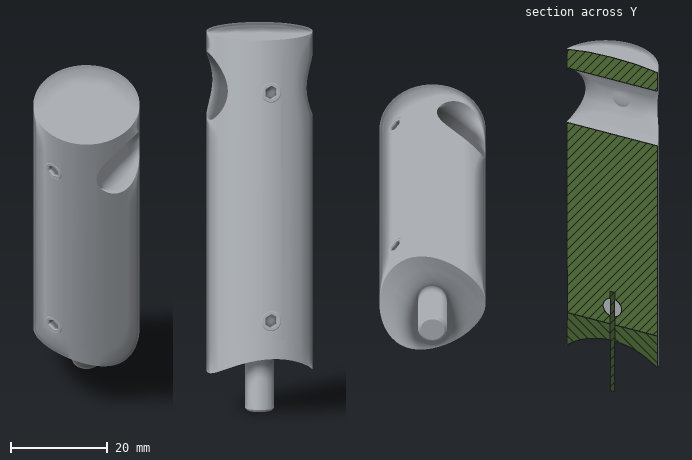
import cadquery as cq
import math

total_height = 80.3
column_diameter = 21.9
column_radius = column_diameter / 2
dome_height = 1.0

joint_z = 16.4
cross_bore_diameter = 14.2
cross_bore_z = 68.4

saddle_crown_z = 12.5
tube_radius = 16.3

stud_diameter = 6.0
stud_tip_diameter = 5.0
stud_tip_chamfer = (stud_diameter - stud_tip_diameter) / 2
stud_top_z = 24.1

screw_diameter = 4.2
screw_radius = screw_diameter / 2
screw_chamfer = 0.2
lower_screw_z = 20.5
screw_face_y = -column_radius
upper_screw_length = -cross_bore_diameter / 2 - screw_face_y
lower_screw_length = -stud_diameter / 2 - screw_face_y
socket_sides = 6
socket_across_flats = 2.6
socket_depth = 1.6
socket_point_depth = 0.7


def vertical_rod(diameter, bottom_z, top_z):
    """Round rod on the Z axis."""
    return cq.Workplane("XY").workplane(offset=bottom_z).circle(diameter / 2).extrude(top_z - bottom_z)


def screw_hole(height):
    """Cutter for a set screw hole, from the Z axis outward through the -Y side."""
    return cq.Workplane("XZ", origin=(0, 0, height)).circle(screw_radius).extrude(column_radius)


def make_post():
    """Column with a domed top, a cross bore along X, a stud hole and two set screw holes."""
    dome_radius = (column_radius**2 + dome_height**2) / (2 * dome_height)
    dome = cq.Workplane("YZ", origin=(0, 0, total_height - dome_radius)).sphere(dome_radius)
    post = vertical_rod(column_diameter, joint_z, total_height).intersect(dome)
    cross_bore = (
        cq.Workplane("YZ")
        .center(0, cross_bore_z)
        .circle(cross_bore_diameter / 2)
        .extrude(column_radius, both=True)
    )
    return (
        post.cut(cross_bore)
        .cut(vertical_rod(stud_diameter, joint_z, stud_top_z))
        .cut(screw_hole(cross_bore_z))
        .cut(screw_hole(lower_screw_z))
    )


def make_saddle():
    """Foot of the column, hollowed below to fit the tube, with a through hole for the stud."""
    tube = (
        cq.Workplane("XZ")
        .center(0, saddle_crown_z - tube_radius)
        .circle(tube_radius)
        .extrude(column_radius, both=True)
    )
    return (
        vertical_rod(column_diameter, 0, joint_z)
        .cut(tube)
        .cut(vertical_rod(stud_diameter, 0, joint_z))
    )


def make_stud():
    """Plain stud with a chamfered lower tip."""
    return vertical_rod(stud_diameter, 0, stud_top_z).faces("<Z").chamfer(stud_tip_chamfer)


def make_set_screw(height, length, point_depth):
    """Chamfered set screw with a hex socket in its -Y face, plus a conical socket end if point_depth > 0."""
    across_corners = socket_across_flats / math.cos(math.pi / socket_sides)
    face = cq.Workplane("XZ", origin=(0, screw_face_y, height))
    screw = face.circle(screw_radius).extrude(-length).faces("<Y").chamfer(screw_chamfer)
    socket = face.transformed(rotate=(0, 0, 90)).polygon(socket_sides, across_corners).extrude(-socket_depth)
    screw = screw.cut(socket)
    if point_depth > 0:
        cone = cq.Solid.makeCone(
            socket_across_flats / 2,
            0,
            point_depth,
            pnt=cq.Vector(0, screw_face_y + socket_depth, height),
            dir=cq.Vector(0, 1, 0),
        )
        screw = screw.cut(cq.Workplane(cone))
    return screw


post = make_post()
saddle = make_saddle()
stud = make_stud()
set_screws = [
    make_set_screw(height, length, point_depth)
    for height, length, point_depth in (
        (cross_bore_z, upper_screw_length, socket_point_depth),
        (lower_screw_z, lower_screw_length, 0),
    )
]

result = cq.Compound.makeCompound(
    [post.val(), saddle.val(), stud.val(), *[screw.val() for screw in set_screws]]
)